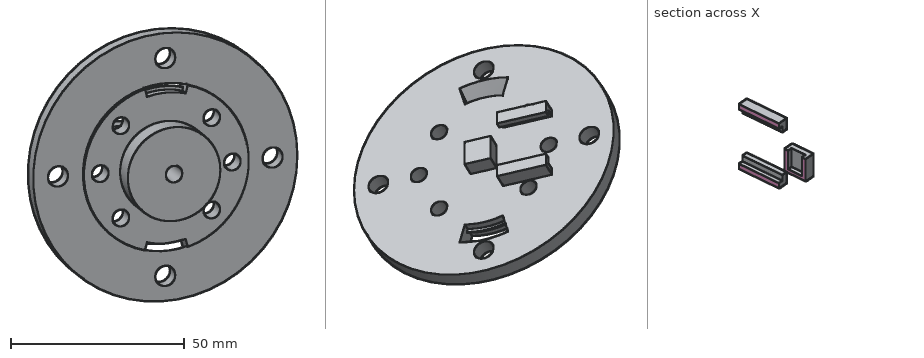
import cadquery as cq

plate_diameter = 80.0
overall_depth = 18.0
hub_length = 7.0
flange_thickness = 1.0
plate_thickness = (overall_depth - hub_length - flange_thickness) / 2
fitting_height = plate_thickness
plate_back = plate_thickness
flange_back = plate_back + flange_thickness

hub_radius = 14.0
flange_radius = 25.0

rim_hole_diameter = 6.0
rim_hole_offset = 32.5
inner_hole_diameter = 5.0
inner_hole_offset = 20.0
corner_hole_offset = 13.8

slot_half_angle = 15.0
slot_inner_radius = 22.5
slot_front_outer_radius = 28.8
slot_lip_radius = 23.5
slot_lip_depth = 2.3
slot_lip_thickness = 0.5

rail_length = 15.0
rail_end_y = -6.0
rail_width = 4.0
upper_rail_top = 12.0
lower_rail_bottom = -11.0
rail_wall = 2.0

socket_size = 8.0
socket_front_wall = 2.0
socket_side_wall = 1.4
socket_floor = socket_side_wall


def disc(radius, start_x, length):
    return cq.Workplane("YZ", origin=(start_x, 0, 0)).circle(radius).extrude(length)


def through_holes(diameter, centres, length=flange_back):
    return (
        cq.Workplane("YZ")
        .pushPoints(centres)
        .circle(diameter / 2)
        .extrude(length)
    )


def on_axes(offset):
    return [(offset, 0), (-offset, 0), (0, offset), (0, -offset)]


def slot_pair():
    """Two opposite sectors: tapered outside in the plate, with a thin lip inside."""
    lip_back = slot_lip_depth + slot_lip_thickness
    section = [
        (0, slot_inner_radius),
        (0, slot_front_outer_radius),
        (plate_back, flange_radius),
        (flange_back, flange_radius),
        (flange_back, slot_inner_radius),
        (lip_back, slot_inner_radius),
        (lip_back, slot_lip_radius),
        (slot_lip_depth, slot_lip_radius),
        (slot_lip_depth, slot_inner_radius),
    ]
    slot = (
        cq.Workplane("XZ")
        .polyline(section)
        .close()
        .revolve(2 * slot_half_angle, (0, 0, 0), (1, 0, 0))
        .rotate((0, 0, 0), (1, 0, 0), -slot_half_angle)
    )
    return slot.union(slot.rotate((0, 0, 0), (1, 0, 0), 180))


def rail(outer_z, inward):
    """L-shaped rail; inward is the Z direction (+1 or -1) its lip points."""
    wall_z = outer_z + inward * rail_wall
    lip_z = outer_z + inward * rail_width
    lip_back = rail_wall - fitting_height
    section = [
        (0, outer_z),
        (-fitting_height, outer_z),
        (-fitting_height, lip_z),
        (lip_back, lip_z),
        (lip_back, wall_z),
        (0, wall_z),
    ]
    return (
        cq.Workplane("XZ", origin=(0, rail_end_y, 0))
        .polyline(section)
        .close()
        .extrude(rail_length)
    )


def socket():
    block = cq.Workplane("XY").box(fitting_height, socket_size, socket_size)
    block = block.translate((-fitting_height / 2, 0, 0))
    pocket_depth = fitting_height - socket_front_wall
    pocket_height = socket_size - socket_floor
    pocket = cq.Workplane("XY").box(
        pocket_depth, socket_size - 2 * socket_side_wall, pocket_height
    )
    pocket = pocket.translate((-pocket_depth / 2, 0, socket_floor / 2))
    return block.cut(pocket)


body = disc(plate_diameter / 2, 0, plate_thickness)
body = body.union(disc(flange_radius, plate_back, flange_thickness))
body = body.union(disc(hub_radius, flange_back, hub_length))

corner_places = (-corner_hole_offset, corner_hole_offset)
corner_holes = [(y, z) for y in corner_places for z in corner_places]
side_holes = [(-inner_hole_offset, 0), (inner_hole_offset, 0)]
body = body.cut(through_holes(rim_hole_diameter, on_axes(rim_hole_offset)))
body = body.cut(through_holes(inner_hole_diameter, corner_holes + side_holes))
body = body.cut(through_holes(inner_hole_diameter, [(0, 0)], flange_back + hub_length))
body = body.cut(slot_pair())

body = body.union(rail(upper_rail_top, -1))
body = body.union(rail(lower_rail_bottom, 1))
result = body.union(socket())